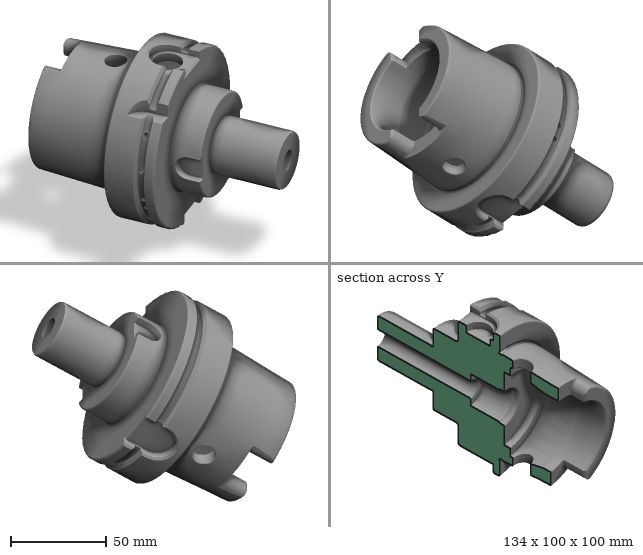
import cadquery as cq
import math


SHANK_LENGTH = 50.0
FLANGE_END = 29.0
BOSS_END = 46.0
SPIGOT_END = 84.0

TAPER_SLOPE = 1.0 / 20.0
TAPER_LARGE_R = 37.8
TAPER_END = -2.2
SHANK_EDGE_ROUND = 1.0
RELIEF_R = 37.4
RELIEF_START = -1.6
RELIEF_SLOPE_LENGTH = 0.6
RELIEF_FACE_DEPTH = 0.5
RELIEF_FLOOR_R = 38.1
RELIEF_MOUTH_R = 39.1

MOUTH_R = 27.4
BORE_R = 26.5
BORE_STRAIGHT_END = -30.0
CAVITY_R = 31.5
CAVITY_CONE_END = -9.5
CAVITY_END = -7.0
BORE_FLOOR_R = 25.7
BORE_FLOOR_X = -3.0
SOCKET_MOUTH_R = 11.9
SOCKET_MOUTH_DEPTH = 3.0
SOCKET_R = 11.1
SOCKET_CHAMFER = 0.6
SOCKET_END = 20.0
THROUGH_R = 6.0
THROUGH_CHAMFER = 0.5

SLOT_WIDTH = 20.0
SLOT_SHELF_Z = 32.0
SLOT_LIP_R = 4.5
SLOT_ROOT_R = 1.0
SLOT_MOUTH_CHAMFER = 1.2
UPPER_SLOT_DEPTH = 10.0
LOWER_SLOT_DEPTH = 15.0

CROSS_X = -15.0
CROSS_R = 6.0
CROSS_CHAMFER = 0.4

FLANGE_R = 50.0
RIM_ROUND = 1.0
GROOVE_X = 20.25
GROOVE_R = 46.0
GROOVE_WIDTH = 4.0
GROOVE_MOUTH_CHAMFER = 1.25
GROOVE_MOUTH_ANGLE = 30.0
GROOVE_CORNER_R = 0.7

KEYWAY_WIDTH = 20.0
KEYWAY_CENTER_X = 15.0
KEYWAY_FLOOR_Z = 44.0
KEYWAY_CHAMFER = 1.2
CHIP_HOLE_R = 8.0
CHIP_HOLE_DEPTH = 5.0

NOTCH_WALL_Y = -31.2
NOTCH_FLOOR_Z = 31.7
NOTCH_CUTTER_R = 10.0
NOTCH_CENTER_X = 18.25

PIN_HOLE_ANGLES = (30.0, 5.0, -20.0, -30.0)
PIN_HOLE_R = 1.5
PIN_HOLE_DEPTH = 4.0
DRILL_HALF_ANGLE = 59.0

BOSS_R = 29.0
BOSS_ROUND = 1.0
DRIVE_POCKET_WIDTH = 14.0
DRIVE_POCKET_CENTER_X = 39.0
DRIVE_POCKET_FLOOR_Y = 24.0
SPIGOT_R = 16.0
UNDERCUT_R = 15.8
UNDERCUT_FLAT = 0.8
UNDERCUT_LENGTH = 2.0
SPIGOT_CHAMFER_LENGTH = 1.2
SPIGOT_CHAMFER_DEPTH = 0.5

SELECT_MARGIN = 1.0
TOLERANCE = 0.01
CLEARANCE = 10.0
ARC_MID = 1.0 - math.sqrt(0.5)


def revolve_about_x(profile):
    """Turn a closed (x, radius) sketch into a solid about the X axis."""
    return profile.close().revolve(360, (0, 0, 0), (1, 0, 0))


def make_shank():
    end_r = TAPER_LARGE_R - TAPER_SLOPE * (SHANK_LENGTH + TAPER_END)
    end_x = -SHANK_LENGTH
    r = SHANK_EDGE_ROUND
    return revolve_about_x(
        cq.Workplane("XY")
        .moveTo(end_x, 0)
        .lineTo(end_x, end_r - r)
        .threePointArc((end_x + ARC_MID * r, end_r - ARC_MID * r), (end_x + r, end_r + TAPER_SLOPE * r))
        .lineTo(TAPER_END, TAPER_LARGE_R)
        .lineTo(RIM_ROUND, TAPER_LARGE_R)
        .lineTo(RIM_ROUND, 0)
    )


def face_relief():
    """Grinding relief in the corner between the shank and the gauge face."""
    return revolve_about_x(
        cq.Workplane("XY")
        .moveTo(RELIEF_START, TAPER_LARGE_R)
        .lineTo(RELIEF_START + RELIEF_SLOPE_LENGTH, RELIEF_R)
        .lineTo(RELIEF_FACE_DEPTH, RELIEF_R)
        .lineTo(RELIEF_FACE_DEPTH, RELIEF_FLOOR_R)
        .lineTo(0, RELIEF_MOUTH_R)
        .lineTo(RELIEF_START, RELIEF_MOUTH_R)
    )


def make_boss_and_spigot():
    r = BOSS_ROUND
    return revolve_about_x(
        cq.Workplane("XY")
        .moveTo(FLANGE_END - RIM_ROUND, 0)
        .lineTo(FLANGE_END - RIM_ROUND, BOSS_R + r)
        .lineTo(FLANGE_END, BOSS_R + r)
        .threePointArc((FLANGE_END + ARC_MID * r, BOSS_R + ARC_MID * r), (FLANGE_END + r, BOSS_R))
        .lineTo(BOSS_END - r, BOSS_R)
        .threePointArc((BOSS_END - ARC_MID * r, BOSS_R - ARC_MID * r), (BOSS_END, BOSS_R - r))
        .lineTo(BOSS_END, UNDERCUT_R)
        .lineTo(BOSS_END + UNDERCUT_FLAT, UNDERCUT_R)
        .lineTo(BOSS_END + UNDERCUT_LENGTH, SPIGOT_R)
        .lineTo(SPIGOT_END - SPIGOT_CHAMFER_LENGTH, SPIGOT_R)
        .lineTo(SPIGOT_END, SPIGOT_R - SPIGOT_CHAMFER_DEPTH)
        .lineTo(SPIGOT_END, 0)
    )


def flange_envelope():
    """Turned flange with rounded rims and the gripper groove."""
    r = RIM_ROUND
    c = GROOVE_CORNER_R
    mouth = GROOVE_MOUTH_CHAMFER
    mouth_r = FLANGE_R - mouth / math.tan(math.radians(GROOVE_MOUTH_ANGLE))
    near = GROOVE_X - GROOVE_WIDTH / 2
    far = GROOVE_X + GROOVE_WIDTH / 2
    return revolve_about_x(
        cq.Workplane("XY")
        .lineTo(0, FLANGE_R - r)
        .threePointArc((ARC_MID * r, FLANGE_R - ARC_MID * r), (r, FLANGE_R))
        .lineTo(near - mouth, FLANGE_R)
        .lineTo(near, mouth_r)
        .lineTo(near, GROOVE_R + c)
        .threePointArc((near + ARC_MID * c, GROOVE_R + ARC_MID * c), (near + c, GROOVE_R))
        .lineTo(far - c, GROOVE_R)
        .threePointArc((far - ARC_MID * c, GROOVE_R + ARC_MID * c), (far, GROOVE_R + c))
        .lineTo(far, mouth_r)
        .lineTo(far + mouth, FLANGE_R)
        .lineTo(FLANGE_END - r, FLANGE_R)
        .threePointArc((FLANGE_END - ARC_MID * r, FLANGE_R - ARC_MID * r), (FLANGE_END, FLANGE_R - r))
        .lineTo(FLANGE_END, 0)
    )


def round_ended_slot(plane, half_width, center_x, end_x):
    """Sketch of a slot open towards +X with a semicircular inner end."""
    return (
        cq.Workplane(plane)
        .moveTo(end_x, half_width)
        .lineTo(center_x, half_width)
        .threePointArc((center_x - half_width, 0), (center_x, -half_width))
        .lineTo(end_x, -half_width)
        .close()
    )


def lies_on_flange_rim(edge):
    """True if a point partway along the edge is at the outer radius of the flange."""
    point = edge.positionAt(0.3)
    return abs(math.hypot(point.y, point.z) - FLANGE_R) < TOLERANCE


def make_flange():
    blank = cq.Workplane("YZ").circle(FLANGE_R).extrude(FLANGE_END)
    keyway = (
        round_ended_slot("XY", KEYWAY_WIDTH / 2, KEYWAY_CENTER_X, FLANGE_END + CLEARANCE)
        .extrude(CLEARANCE)
        .translate((0, 0, KEYWAY_FLOOR_Z))
    )
    blank = blank.cut(keyway).cut(keyway.mirror("XY"))

    reach = KEYWAY_WIDTH / 2 + SELECT_MARGIN
    for side in (1, -1):
        low, high = sorted((side * (KEYWAY_FLOOR_Z - SELECT_MARGIN), side * (FLANGE_R + SELECT_MARGIN)))
        around_keyway = cq.selectors.BoxSelector(
            (SELECT_MARGIN, -reach, low), (FLANGE_END + SELECT_MARGIN, reach, high)
        )
        on_rim = [edge for edge in blank.edges(around_keyway).vals() if lies_on_flange_rim(edge)]
        blank = blank.newObject(on_rim).chamfer(KEYWAY_CHAMFER)
        floor_z = side * KEYWAY_FLOOR_Z
        at_floor_end = cq.selectors.BoxSelector(
            (FLANGE_END - TOLERANCE, -TOLERANCE, floor_z - TOLERANCE),
            (FLANGE_END + TOLERANCE, TOLERANCE, floor_z + TOLERANCE),
        )
        blank = blank.edges(at_floor_end).chamfer(KEYWAY_CHAMFER)
    return blank.intersect(flange_envelope())


def orientation_notch():
    r = NOTCH_CUTTER_R
    outer_y = -FLANGE_R - CLEARANCE
    return (
        cq.Workplane("XY")
        .moveTo(FLANGE_END + CLEARANCE, NOTCH_WALL_Y)
        .lineTo(NOTCH_CENTER_X, NOTCH_WALL_Y)
        .radiusArc((NOTCH_CENTER_X - r, NOTCH_WALL_Y - r), -r)
        .lineTo(NOTCH_CENTER_X - r, outer_y)
        .lineTo(FLANGE_END + CLEARANCE, outer_y)
        .close()
        .extrude(FLANGE_R)
        .translate((0, 0, NOTCH_FLOOR_Z))
    )


def chip_hole():
    return (
        cq.Workplane("XY", origin=(KEYWAY_CENTER_X, 0, KEYWAY_FLOOR_Z - CHIP_HOLE_DEPTH))
        .circle(CHIP_HOLE_R)
        .extrude(FLANGE_R)
    )


def pin_hole(angle):
    """Drilled radial hole with a conical bottom."""
    tip = PIN_HOLE_R / math.tan(math.radians(DRILL_HALF_ANGLE))
    bottom = GROOVE_R - PIN_HOLE_DEPTH
    drill = (
        cq.Workplane("XZ")
        .moveTo(0, bottom - tip)
        .lineTo(PIN_HOLE_R, bottom)
        .lineTo(PIN_HOLE_R, FLANGE_R)
        .lineTo(0, FLANGE_R)
        .close()
        .revolve(360, (0, 0, 0), (0, 1, 0))
    )
    return drill.rotate((0, 0, 0), (1, 0, 0), 90 - angle).translate((GROOVE_X, 0, 0))


def drive_slot(depth):
    """Slot across the upper wall of the shank, with rounded lips and root."""
    half = SLOT_WIDTH / 2
    outer = TAPER_LARGE_R + CLEARANCE
    lip_z = SLOT_SHELF_Z - SLOT_LIP_R
    shelf_y = half + SLOT_LIP_R
    mouth = half + SLOT_MOUTH_CHAMFER
    mouth_chamfer = (
        cq.Workplane("XY")
        .moveTo(-SHANK_LENGTH, -mouth)
        .lineTo(-SHANK_LENGTH + SLOT_MOUTH_CHAMFER, -half)
        .lineTo(-SHANK_LENGTH + SLOT_MOUTH_CHAMFER, half)
        .lineTo(-SHANK_LENGTH, mouth)
        .close()
        .extrude(outer)
    )
    slot = (
        cq.Workplane("YZ", origin=(-SHANK_LENGTH - CLEARANCE, 0, 0))
        .moveTo(-half, 0)
        .lineTo(half, 0)
        .lineTo(half, lip_z)
        .radiusArc((shelf_y, SLOT_SHELF_Z), SLOT_LIP_R)
        .lineTo(outer, SLOT_SHELF_Z)
        .lineTo(outer, outer)
        .lineTo(-outer, outer)
        .lineTo(-outer, SLOT_SHELF_Z)
        .lineTo(-shelf_y, SLOT_SHELF_Z)
        .radiusArc((-half, lip_z), SLOT_LIP_R)
        .close()
        .extrude(CLEARANCE + depth)
        .faces(">X")
        .edges()
        .fillet(SLOT_ROOT_R)
    )
    return slot.union(mouth_chamfer)


def with_cross_hole(body):
    """Drill along Z through both walls of the shank and chamfer the outer rims."""
    drill = cq.Workplane("XY", origin=(CROSS_X, 0, 0)).circle(CROSS_R).extrude(FLANGE_R, both=True)
    body = body.cut(drill)
    reach = CROSS_R + SELECT_MARGIN
    for side in (1, -1):
        low, high = sorted((side * CAVITY_R, side * FLANGE_R))
        outer_rim = cq.selectors.BoxSelector((CROSS_X - reach, -reach, low), (CROSS_X + reach, reach, high))
        rim_edges = [edge for edge in body.edges(outer_rim).vals() if edge.geomType() != "LINE"]
        body = body.newObject(rim_edges).chamfer(CROSS_CHAMFER)
    return body


def inner_bore():
    mouth_chamfer = MOUTH_R - BORE_R
    socket_step_x = BORE_FLOOR_X + SOCKET_MOUTH_DEPTH
    return revolve_about_x(
        cq.Workplane("XY")
        .moveTo(-SHANK_LENGTH, 0)
        .lineTo(-SHANK_LENGTH, MOUTH_R)
        .lineTo(-SHANK_LENGTH + mouth_chamfer, BORE_R)
        .lineTo(BORE_STRAIGHT_END, BORE_R)
        .lineTo(CAVITY_CONE_END, CAVITY_R)
        .lineTo(CAVITY_END, CAVITY_R)
        .lineTo(CAVITY_END, BORE_FLOOR_R)
        .lineTo(BORE_FLOOR_X, BORE_FLOOR_R)
        .lineTo(BORE_FLOOR_X, SOCKET_MOUTH_R + SOCKET_CHAMFER)
        .lineTo(BORE_FLOOR_X + SOCKET_CHAMFER, SOCKET_MOUTH_R)
        .lineTo(socket_step_x, SOCKET_MOUTH_R)
        .lineTo(socket_step_x + SOCKET_MOUTH_R - SOCKET_R, SOCKET_R)
        .lineTo(SOCKET_END, SOCKET_R)
        .lineTo(SOCKET_END, THROUGH_R + THROUGH_CHAMFER)
        .lineTo(SOCKET_END + THROUGH_CHAMFER, THROUGH_R)
        .lineTo(SPIGOT_END, THROUGH_R)
        .lineTo(SPIGOT_END, 0)
    )


def drive_pocket():
    """Round-ended driver pocket in the -Y side of the boss."""
    return (
        round_ended_slot("XZ", DRIVE_POCKET_WIDTH / 2, DRIVE_POCKET_CENTER_X, BOSS_END)
        .extrude(CLEARANCE)
        .translate((0, -DRIVE_POCKET_FLOOR_Y, 0))
    )


shank = with_cross_hole(make_shank())
result = shank.union(make_flange()).union(make_boss_and_spigot())
result = result.cut(face_relief())
result = result.cut(inner_bore())
result = result.cut(drive_slot(UPPER_SLOT_DEPTH))
result = result.cut(drive_slot(LOWER_SLOT_DEPTH).mirror("XY"))
result = result.cut(orientation_notch())
result = result.cut(chip_hole())
for hole_angle in PIN_HOLE_ANGLES:
    result = result.cut(pin_hole(hole_angle))
result = result.cut(drive_pocket())
result = result.cut(drive_pocket().mirror("XZ"))